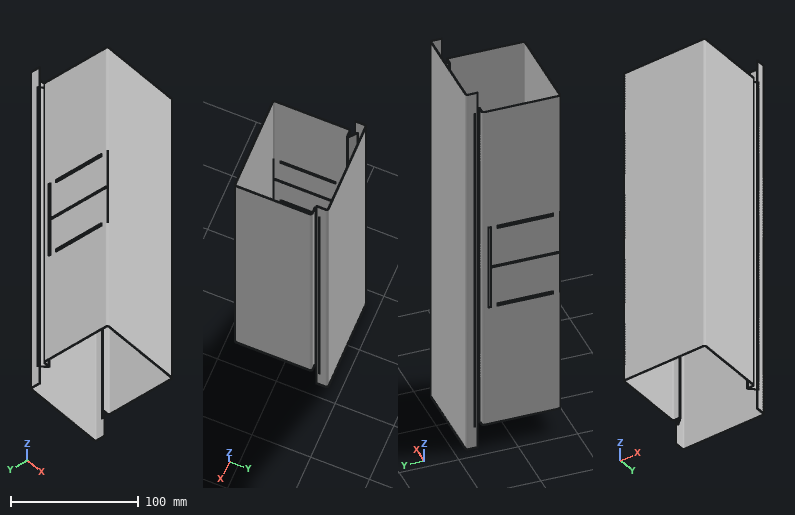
import cadquery as cq
import math

width = 80.0
depth = 80.0
cover_length = 340.0
channel_length = 300.0
wall = 0.7
bend_radius = 2.0
inner_bend_radius = bend_radius - wall

rim_drop = 13.5
lip_reach = 7.0
tip_rise = 0.7
slant_top_drop = 7.0
cover_flange = 10.0

panel_height = 76.5
slot_width = 2.0
split_width = 1.0
side_slot_drop = 20.0
cross_slot_start = 26.5
cross_slot_end = 73.5
score_depth = 0.85

half_width = width / 2
back = depth / 2
front = -depth / 2
rim = back - rim_drop


def centred_prism(sketch, length):
    """Extrude an XY outline equally above and below the middle plane."""
    return sketch.extrude(length / 2, both=True)


def make_cover():
    """U-shaped cover with short flanges, open toward -Y."""
    skin = centred_prism(cq.Workplane("XY").rect(width, depth), cover_length)
    skin = skin.edges("|Z and >Y").fillet(bend_radius)
    inside = centred_prism(cq.Workplane("XY").rect(width - 2 * wall, depth - 2 * wall), cover_length)
    inside = inside.edges("|Z and >Y").fillet(inner_bend_radius)
    below_flanges = centred_prism(
        cq.Workplane("XY").center(0, -cover_flange).rect(width, depth), cover_length
    )
    return skin.cut(inside).cut(below_flanges)


def make_tray():
    """U-shaped part of the channel with the inward lips along its rim."""
    tray_depth = depth - rim_drop
    middle_y = front + tray_depth / 2
    skin = centred_prism(cq.Workplane("XY").center(0, middle_y).rect(width, tray_depth), channel_length)
    skin = skin.edges("|Z").fillet(bend_radius)
    inside = centred_prism(
        cq.Workplane("XY").center(0, middle_y).rect(width - 2 * wall, tray_depth - 2 * wall),
        channel_length,
    )
    inside = inside.edges("|Z").fillet(inner_bend_radius)
    mouth = centred_prism(
        cq.Workplane("XY").center(0, rim).rect(width - 2 * lip_reach, tray_depth), channel_length
    )
    return skin.cut(inside).cut(mouth)


def make_slant(side):
    """Slanted strip from the lip tip out to the inner face of a cover flange."""
    tip_x = half_width - lip_reach
    outer_x = half_width - wall
    slant_start = rim + tip_rise
    slant_end = back - slant_top_drop
    slope = (slant_end - slant_start) / (outer_x - tip_x)
    vertical_wall = wall * math.hypot(1, slope)
    knee_x = tip_x + wall
    outline = [
        (tip_x, rim - wall),
        (tip_x, slant_start),
        (outer_x, slant_end),
        (outer_x, slant_end - vertical_wall),
        (knee_x, slant_start + slope * wall - vertical_wall),
        (knee_x, rim - wall),
    ]
    points = [(side * x, y) for x, y in outline]
    return centred_prism(cq.Workplane("XY").polyline(points).close(), channel_length)


def side_slot(y_start, y_end, z_centre, height):
    """Cutter that passes through the -X side only."""
    return cq.Workplane("XY").box(2 * wall, y_end - y_start, height).translate(
        (-half_width, (y_start + y_end) / 2, z_centre)
    )


def cut_knockouts(channel):
    """Cut two knockout flaps, hinged on a scored bend."""
    upright_y = back - side_slot_drop
    upright_bottom = upright_y - slot_width / 2
    channel = channel.cut(side_slot(upright_bottom, upright_y + slot_width / 2, 0, panel_height))
    channel = channel.cut(side_slot(front + bend_radius, upright_bottom, 0, split_width))
    cross_z = (panel_height - slot_width) / 2
    for z_centre in (-cross_z, cross_z):
        channel = channel.cut(
            side_slot(back - cross_slot_end, back - cross_slot_start, z_centre, slot_width)
        )
    score = cq.Workplane("XY").box(2 * score_depth, 2 * score_depth, panel_height)
    return channel.cut(score.translate((-half_width, front, 0)))


def make_channel():
    channel = make_tray()
    for side in (-1, 1):
        channel = channel.union(make_slant(side))
    return cut_knockouts(channel)


cover = make_cover()
channel = make_channel()
result = cq.Compound.makeCompound([cover.val(), channel.val()])